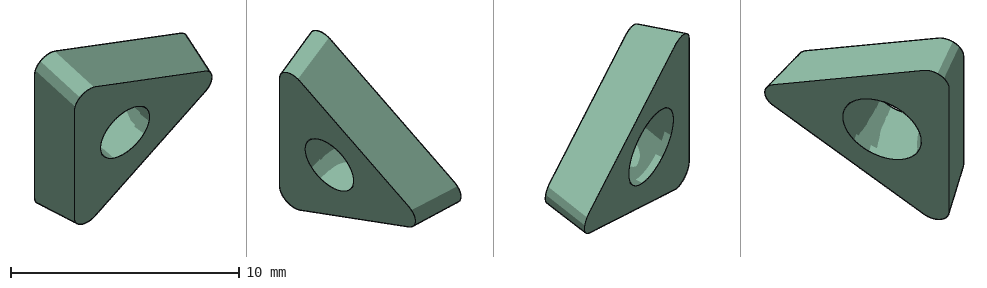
import cadquery as cq
import math

thickness = 2.38
inscribed_radius = 3.18
corner_radius = 0.8
clearance_angle = 7.0

hole_radius = 1.4
mouth_radius = 1.86
land_depth = 0.3
land_radius = 1.8
seat_depth = 1.78

side_inset = thickness * math.tan(math.radians(clearance_angle))


def rounded_triangle(x, side_distance):
    """Closed wire in the plane at x, with one corner pointing to +Y."""
    centre_distance = 2 * (side_distance - corner_radius)

    def corner_point(corner_angle, direction_angle):
        corner = math.radians(corner_angle)
        direction = math.radians(direction_angle)
        y = centre_distance * math.cos(corner) + corner_radius * math.cos(direction)
        z = centre_distance * math.sin(corner) + corner_radius * math.sin(direction)
        return cq.Vector(x, y, z)

    edges = []
    for angle in (0, 120, 240):
        arc_start = corner_point(angle, angle - 60)
        arc_middle = corner_point(angle, angle)
        arc_end = corner_point(angle, angle + 60)
        next_start = corner_point(angle + 120, angle + 60)
        edges.append(cq.Edge.makeThreePointArc(arc_start, arc_middle, arc_end))
        edges.append(cq.Edge.makeLine(arc_end, next_start))
    return cq.Wire.assembleEdges(edges)


def insert_body():
    large_face = rounded_triangle(0, inscribed_radius)
    small_face = rounded_triangle(thickness, inscribed_radius - side_inset)
    return cq.Workplane(cq.Solid.makeLoft([large_face, small_face], True))


def screw_hole():
    """Through hole along X: conical entry, rounded screw seat, straight bore."""
    seat_length = seat_depth - land_depth
    seat_step = land_radius - hole_radius
    seat_radius = (seat_length**2 + seat_step**2) / (2 * seat_step)
    half_sweep = math.asin(seat_length / seat_radius) / 2
    seat_middle = (
        seat_depth - seat_radius * math.sin(half_sweep),
        hole_radius + seat_radius * (1 - math.cos(half_sweep)),
    )
    profile = (
        cq.Workplane("XY")
        .moveTo(0, 0)
        .lineTo(0, mouth_radius)
        .lineTo(land_depth, land_radius)
        .threePointArc(seat_middle, (seat_depth, hole_radius))
        .lineTo(thickness, hole_radius)
        .lineTo(thickness, 0)
        .close()
    )
    return profile.revolve(360, (0, 0, 0), (1, 0, 0))


result = insert_body().cut(screw_hole())